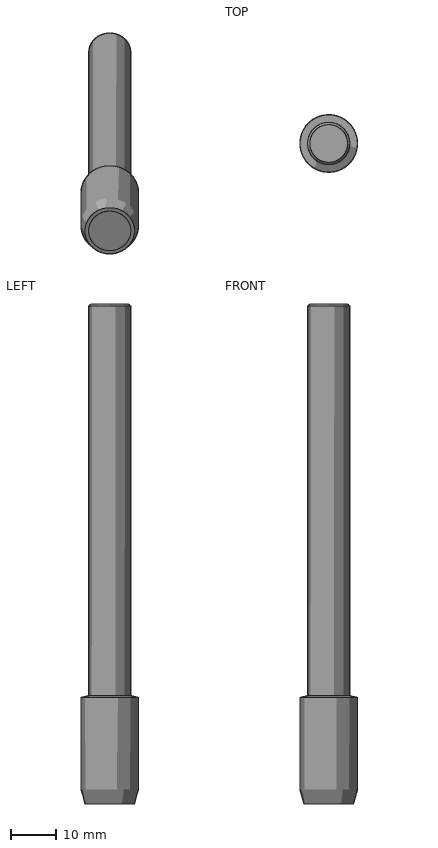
import cadquery as cq

total_length = 110.0

sleeve_diameter = 12.7
sleeve_shoulder_height = 23.45
sleeve_top_height = 23.85
lead_in_length = 3.2
lead_in_end_diameter = 10.9

rod_diameter = 9.3
rod_chamfer = 0.5


def make_rod():
    """Full-length round rod with a chamfered top end."""
    rod = cq.Workplane("XY").circle(rod_diameter / 2).extrude(total_length)
    return rod.faces(">Z").chamfer(rod_chamfer)


def make_sleeve():
    """Sleeve around the rod: tapered lead-in below, shallow cone up to the rod above."""
    bore_radius = rod_diameter / 2
    sleeve_radius = sleeve_diameter / 2
    half_section = (
        cq.Workplane("XZ")
        .moveTo(bore_radius, 0)
        .lineTo(lead_in_end_diameter / 2, 0)
        .lineTo(sleeve_radius, lead_in_length)
        .lineTo(sleeve_radius, sleeve_shoulder_height)
        .lineTo(bore_radius, sleeve_top_height)
        .close()
    )
    return half_section.revolve(360, (0, 0, 0), (0, 1, 0))


rod = make_rod()
sleeve = make_sleeve()

result = cq.Compound.makeCompound([rod.val(), sleeve.val()])